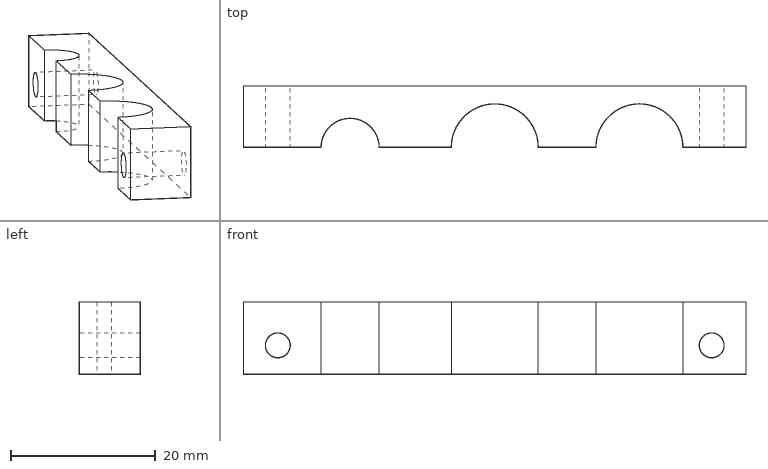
import cadquery as cq

length = 69.5
depth = 8.5
height = 10.0

groove_pitch = 20.0
small_groove_diameter = 8.0
large_groove_diameter = 12.0
grooves = [
    (-groove_pitch, small_groove_diameter),
    (0.0, large_groove_diameter),
    (groove_pitch, large_groove_diameter),
]

hole_diameter = 3.4
hole_spacing = 60.0
hole_height = 4.0


def make_bar():
    return cq.Workplane("XY").box(length, depth, height, centered=(True, False, False))


def make_groove_cutter(x, diameter):
    """Upright cylinder whose axis lies in the grooved face."""
    return cq.Workplane("XY").center(x, 0).circle(diameter / 2).extrude(height)


def make_hole_cutter(x):
    """Cylinder along Y through the full depth of the bar."""
    return cq.Workplane("XZ").center(x, hole_height).circle(hole_diameter / 2).extrude(-depth)


result = make_bar()

for groove_x, groove_diameter in grooves:
    result = result.cut(make_groove_cutter(groove_x, groove_diameter))

for side in (-1, 1):
    result = result.cut(make_hole_cutter(side * hole_spacing / 2))